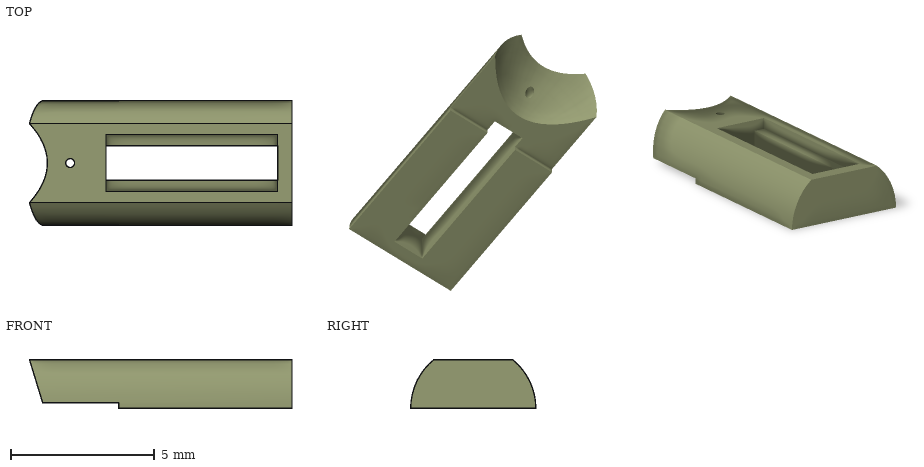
import cadquery as cq

length = 9.17
rod_radius = 2.187
height = 1.7

relief_length = 3.12
relief_depth = 0.19

hollow_tip_x = 2.155
hollow_axis_z = -0.47
hollow_curvature = 0.3272
hollow_mouth_radius = 3.21

slot_start = 2.68
slot_length = 5.99
slot_width = 1.98
slot_lower_width = 1.19
slot_ledge_depth = 0.39

pin_diameter = 0.3
pin_x = 1.42


def block(start_x, size_x, size_y, bottom_z, top_z):
    """Box centred on Y, between two X positions and two heights."""
    return (
        cq.Workplane("XY")
        .box(size_x, size_y, top_z - bottom_z, centered=(False, True, False))
        .translate((start_x, 0, bottom_z))
    )


def body():
    rod = cq.Workplane("YZ").circle(rod_radius).extrude(length)
    return rod.intersect(block(0, length, 2 * rod_radius, 0, height))


def front_relief():
    return block(0, relief_length, 2 * rod_radius, 0, relief_depth)


def front_hollow():
    """Revolved parabola; its middle control point lies on the tangent at the tip."""
    mouth_x = hollow_tip_x - hollow_curvature * hollow_mouth_radius**2
    tip = (hollow_tip_x, 0)
    control = (hollow_tip_x, hollow_mouth_radius / 2)
    mouth_edge = (mouth_x, hollow_mouth_radius)
    return (
        cq.Workplane("XZ")
        .moveTo(*tip)
        .bezier([tip, control, mouth_edge])
        .lineTo(mouth_x, 0)
        .close()
        .revolve(360, (0, 0, 0), (1, 0, 0))
        .translate((0, 0, hollow_axis_z))
    )


def stepped_slot():
    upper = block(slot_start, slot_length, slot_width, height - slot_ledge_depth, height)
    lower = block(slot_start, slot_length, slot_lower_width, 0, height)
    return upper.union(lower)


def pin_hole():
    """Vertical hole from the flat top down into the hollow."""
    return cq.Workplane("XY").center(pin_x, 0).circle(pin_diameter / 2).extrude(height)


result = (
    body()
    .cut(front_relief())
    .cut(front_hollow())
    .cut(stepped_slot())
    .cut(pin_hole())
)